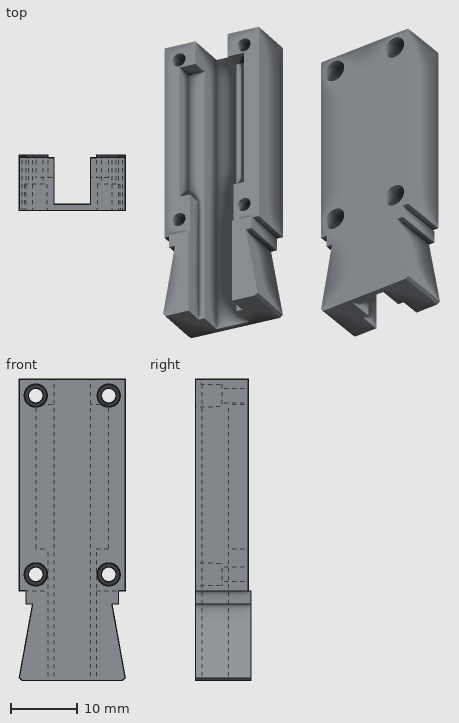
import cadquery as cq

total_height = 45.5
width = 16.0
body_height = 32.0
body_depth = 8.0
tail_depth = 8.4

neck_width = 14.0
neck_height = 2.0
tail_top_width = 12.0
tail_bottom_width = 15.1
tail_corner_height = 0.4

front_wall = 1.0
channel_width = 5.45
recess_floor = 5.0
recess_width = 10.9
outlet_width = 7.35
pad_height = 3.8

hole_diameter = 2.2
counterbore_mouth_diameter = 3.5
counterbore_floor_diameter = 3.3
counterbore_depth = 4.0
hole_spacing_x = 11.0
hole_spacing_z = 27.0
top_hole_offset = 2.5

body_bottom = total_height - body_height
neck_bottom = body_bottom - neck_height


def centred_block(block_width, y_start, y_end, z_start, z_end):
    """Block centred on X between the given Y and Z limits."""
    return (
        cq.Workplane("XY")
        .box(block_width, y_end - y_start, z_end - z_start, centered=(True, False, False))
        .translate((0, y_start, z_start))
    )


def flared_tail():
    """Tail that widens downwards and ends in small bevelled corners."""
    right_side = [
        (tail_top_width / 2, neck_bottom),
        (width / 2, tail_corner_height),
        (tail_bottom_width / 2, 0),
    ]
    left_side = [(-x, z) for x, z in reversed(right_side)]
    return cq.Workplane("XZ").polyline(right_side + left_side).close().extrude(-tail_depth)


def screw_hole(x, z):
    """Through hole with a tapered counterbore opening at the front face."""
    half_profile = [
        (0, 0),
        (counterbore_mouth_diameter / 2, 0),
        (counterbore_floor_diameter / 2, counterbore_depth),
        (hole_diameter / 2, counterbore_depth),
        (hole_diameter / 2, body_depth),
        (0, body_depth),
    ]
    cutter = cq.Workplane("XY").polyline(half_profile).close().revolve(360, (0, 0), (0, 1))
    return cutter.translate((x, 0, z))


body = centred_block(width, 0, body_depth, body_bottom, total_height)
neck = centred_block(neck_width, 0, tail_depth, neck_bottom, body_bottom)
result = body.union(neck).union(flared_tail())

recess_top = total_height - pad_height
recess_bottom = body_bottom + top_hole_offset + pad_height
channel = centred_block(channel_width, front_wall, tail_depth, 0, total_height)
recess = centred_block(recess_width, recess_floor, body_depth, recess_bottom, recess_top)
outlet = centred_block(outlet_width, recess_floor, tail_depth, 0, recess_bottom)
result = result.cut(channel).cut(recess).cut(outlet)

top_hole_z = total_height - top_hole_offset
for hole_x in (-hole_spacing_x / 2, hole_spacing_x / 2):
    for hole_z in (top_hole_z, top_hole_z - hole_spacing_z):
        result = result.cut(screw_hole(hole_x, hole_z))